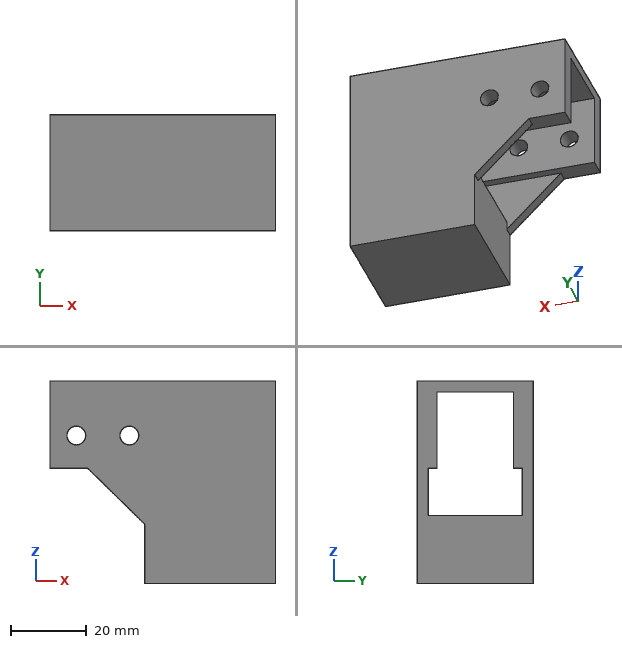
import cadquery as cq

length = 59.7
width = 30.8
height = 53.6

roof_thickness = 3.0
channel_size = 20.2
arm_bottom = height - roof_thickness - channel_size

side_wall = 3.0
lower_channel_width = width - 2 * side_wall
base_top = 18.0

leg_front = 25.1
slope_start = 10.0
slope_bottom = 15.7

hole_diameter = 4.9
first_hole = 7.0
hole_spacing = 14.0
hole_height = 39.15


def make_body():
    """L-shaped side profile with a sloped inner corner."""
    profile = [
        (0, height),
        (length, height),
        (length, 0),
        (leg_front, 0),
        (leg_front, slope_bottom),
        (slope_start, arm_bottom),
        (0, arm_bottom),
    ]
    return cq.Workplane("XZ").polyline(profile).close().extrude(width / 2, both=True)


def make_channel(channel_width, bottom, top, end=length):
    """Rectangular passage from the arm end at X = 0 to X = end."""
    return (
        cq.Workplane("XY")
        .box(end, channel_width, top - bottom, centered=(False, True, False))
        .translate((0, 0, bottom))
    )


def make_cross_holes():
    centres = [(first_hole + i * hole_spacing, hole_height) for i in range(2)]
    return (
        cq.Workplane("XZ")
        .pushPoints(centres)
        .circle(hole_diameter / 2)
        .extrude(width / 2, both=True)
    )


upper_channel = make_channel(channel_size, arm_bottom, height - roof_thickness)
lower_channel = make_channel(lower_channel_width, base_top, arm_bottom)
slope_opening = make_channel(lower_channel_width, slope_bottom, arm_bottom, end=leg_front)

result = (
    make_body()
    .cut(upper_channel)
    .cut(lower_channel)
    .cut(slope_opening)
    .cut(make_cross_holes())
)